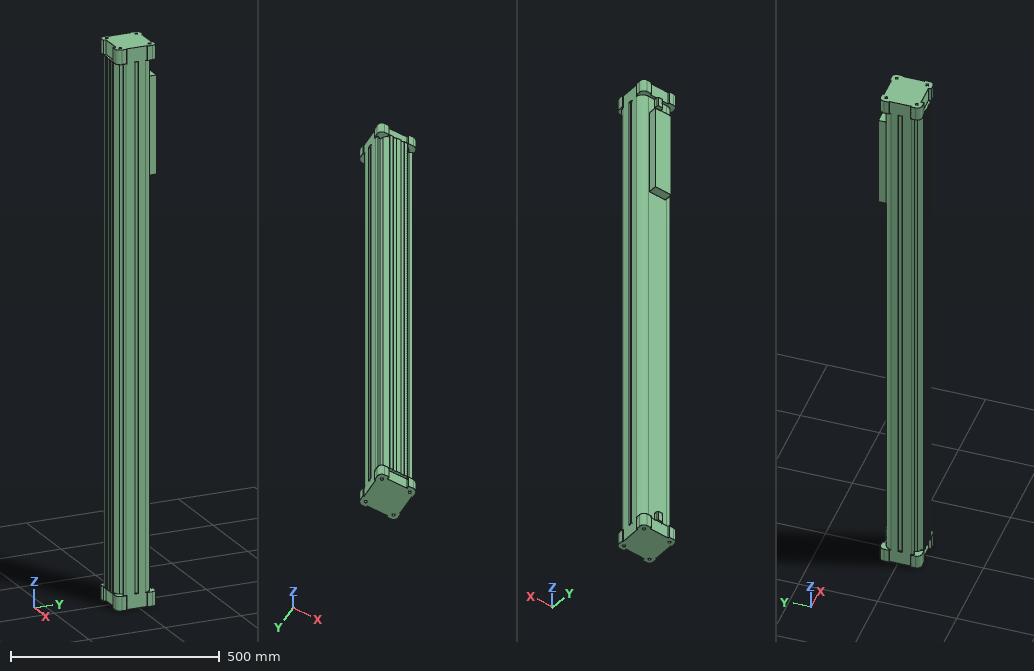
import cadquery as cq
import math

total_height = 1430.0
cap_width = 106.0
cap_height = 37.0

lobe_length = 26.0
lobe_radius = 13.0
waist_depth = 3.0
back_waist_depth = 5.0
front_waist_depth = 7.0
screw_hole_diameter = 6.6
screw_hole_depth = 15.0
screw_spacing = 77.0

barrel_back = 41.0
back_arc_radius = 23.0
back_arc_start_angle = math.radians(12)
rib_half = 25.0
rib_height = 3.0
groove_start = (36.0, -39.0)
groove_bottom = (39.0, -30.0)
groove_end = (49.0, -36.0)
lip_edge_y = -29.0
side_slot_width = 10.0
side_slot_depth = 5.0
front_slot_width = 9.0
front_slot_depth = 1.0
front_slot_offset = 10.7

tongue_width = 17.0
tongue_chamfer = 3.0
tongue_length = 27.0

carriage_width = 49.0
carriage_height = 253.0
carriage_back = 65.0
carriage_below_top = 89.0

cap_half = cap_width / 2
barrel_half = cap_half - waist_depth
barrel_front = -cap_half
barrel_length = total_height - 2 * cap_height
barrel_top = barrel_length / 2


def at_height(z):
    return cq.Workplane("XY", origin=(0, 0, z))


def make_cap(base_z):
    """End cap with its four corner lobes, standing on the height base_z."""
    cap = at_height(base_z).rect(cap_width, cap_width).extrude(cap_height)
    cap = cap.edges("|Z").fillet(lobe_radius)
    waist_length = cap_width - 2 * lobe_length
    for x, y, size_x, size_y in (
        (-cap_half, 0, 2 * waist_depth, waist_length),
        (cap_half, 0, 2 * waist_depth, waist_length),
        (0, cap_half, waist_length, 2 * back_waist_depth),
        (0, -cap_half, waist_length, 2 * front_waist_depth),
    ):
        cap = cap.cut(at_height(base_z).center(x, y).rect(size_x, size_y).extrude(cap_height))
    return cap


def make_barrel():
    """Extruded profile between the caps, without its slots."""
    arc_centre_x = barrel_half - back_arc_radius * math.cos(back_arc_start_angle)
    arc_centre_y = barrel_back - back_arc_radius

    def arc_point(angle):
        return (
            arc_centre_x + back_arc_radius * math.cos(angle),
            arc_centre_y + back_arc_radius * math.sin(angle),
        )

    arc_end_angle = math.pi / 2
    arc_middle_angle = (back_arc_start_angle + arc_end_angle) / 2
    half = (
        at_height(-barrel_top)
        .moveTo(0, barrel_front)
        .lineTo(rib_half, barrel_front)
        .lineTo(rib_half, barrel_front + rib_height)
        .lineTo(*groove_start)
        .lineTo(*groove_bottom)
        .lineTo(*groove_end)
        .lineTo(barrel_half, lip_edge_y)
        .lineTo(*arc_point(back_arc_start_angle))
        .threePointArc(arc_point(arc_middle_angle), arc_point(arc_end_angle))
        .lineTo(0, barrel_back)
        .close()
        .extrude(barrel_length)
    )
    return half.union(half.mirror("YZ"))


def make_slots():
    """Two slots in the sides and two in the front rib, all along the barrel."""
    side_slots = (
        at_height(-barrel_top)
        .pushPoints([(-barrel_half, 0), (barrel_half, 0)])
        .rect(2 * side_slot_depth, side_slot_width)
        .extrude(barrel_length)
    )
    front_slots = (
        at_height(-barrel_top)
        .pushPoints([(-front_slot_offset, barrel_front), (front_slot_offset, barrel_front)])
        .rect(front_slot_width, 2 * front_slot_depth)
        .extrude(barrel_length)
    )
    return side_slots.union(front_slots)


def make_tongue(base_z):
    return (
        at_height(base_z)
        .center(0, cap_half / 2)
        .rect(tongue_width, cap_half)
        .extrude(tongue_length)
        .edges("|Z and >Y")
        .chamfer(tongue_chamfer)
    )


def make_screw_holes(base_z):
    return (
        at_height(base_z)
        .rect(screw_spacing, screw_spacing, forConstruction=True)
        .vertices()
        .circle(screw_hole_diameter / 2)
        .extrude(screw_hole_depth)
    )


def make_housing():
    """Barrel, both caps and both tongues as one piece."""
    housing = make_barrel().cut(make_slots())
    for cap_base in (-total_height / 2, barrel_top):
        housing = housing.union(make_cap(cap_base))
    for tongue_base in (-barrel_top, barrel_top - tongue_length):
        housing = housing.union(make_tongue(tongue_base))
    for hole_base in (-total_height / 2, total_height / 2 - screw_hole_depth):
        housing = housing.cut(make_screw_holes(hole_base))
    return housing.clean()


def make_carriage():
    thickness = carriage_back - barrel_back
    base_z = total_height / 2 - carriage_below_top - carriage_height
    return (
        at_height(base_z)
        .center(0, barrel_back + thickness / 2)
        .rect(carriage_width, thickness)
        .extrude(carriage_height)
    )


housing = make_housing()
carriage = make_carriage()
result = cq.Compound.makeCompound([housing.val(), carriage.val()])